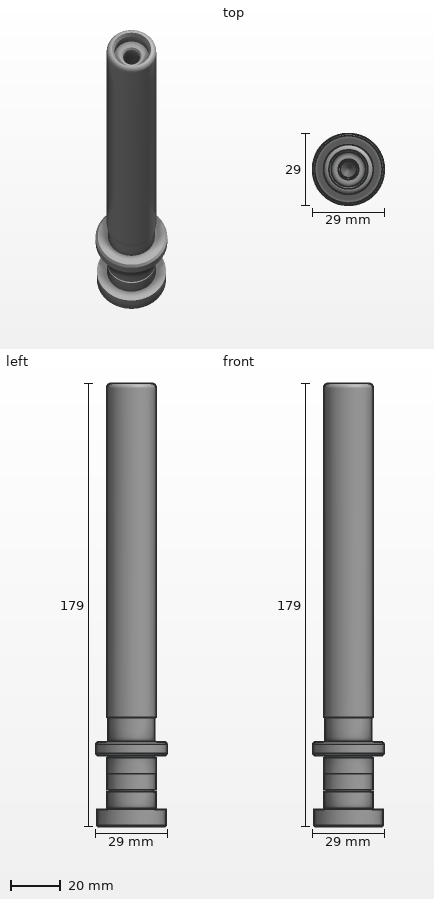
import cadquery as cq
import math

total_height = 179.0

disc_radius = 14.0
disc_height = 7.0
disc_chamfer = 0.5

shaft_radius = 10.0
relief_step = 0.09
relief_radius = shaft_radius - relief_step
neck_radius = 9.5
groove_radius = 9.0
collar_radius = 14.5
collar_chamfer = 0.9
root_radius = 10.5
root_height = 0.2
edge_chamfer = 0.4

groove_bottom = 14.0
groove_top = 14.9
fit_bottom = 21.3
fit_top = 27.7
collar_bottom = 28.6
collar_top = 34.2
shaft_bottom = 44.2

rim_round = 2.0
recess_mouth_radius = 7.9
recess_radius = 7.0
recess_chamfer_depth = 1.6
recess_depth = 5.4
core_mouth_radius = 4.1
core_radius = 3.4
core_chamfer = core_mouth_radius - core_radius
core_depth = 17.9
drill_tip_angle = 118.0


def make_disc():
    """Plain round base disc with a chamfered lower edge."""
    disc = cq.Workplane("XY").circle(disc_radius).extrude(disc_height)
    return disc.faces("<Z").edges().chamfer(disc_chamfer)


def make_pillar_blank():
    """Turned outside of the pillar, from the disc up to the rounded rim."""
    rim_centre_radius = shaft_radius - rim_round
    rim_centre_height = total_height - rim_round
    rim_diagonal = rim_round * math.sqrt(0.5)
    return (
        cq.Workplane("XZ")
        .moveTo(0, disc_height)
        .lineTo(relief_radius - edge_chamfer, disc_height)
        .lineTo(relief_radius, disc_height + edge_chamfer)
        .lineTo(relief_radius, groove_bottom)
        .lineTo(groove_radius, groove_bottom)
        .lineTo(groove_radius, groove_top)
        .lineTo(relief_radius, groove_top)
        .lineTo(relief_radius, fit_bottom)
        .lineTo(shaft_radius, fit_bottom)
        .lineTo(shaft_radius, fit_top)
        .lineTo(neck_radius, fit_top)
        .lineTo(neck_radius, collar_bottom)
        .lineTo(collar_radius - collar_chamfer, collar_bottom)
        .lineTo(collar_radius, collar_bottom + collar_chamfer)
        .lineTo(collar_radius, collar_top - collar_chamfer)
        .lineTo(collar_radius - collar_chamfer, collar_top)
        .lineTo(root_radius, collar_top)
        .lineTo(neck_radius, collar_top + root_height)
        .lineTo(neck_radius, shaft_bottom - edge_chamfer)
        .lineTo(shaft_radius, shaft_bottom)
        .lineTo(shaft_radius, rim_centre_height)
        .threePointArc(
            (rim_centre_radius + rim_diagonal, rim_centre_height + rim_diagonal),
            (rim_centre_radius, total_height),
        )
        .lineTo(0, total_height)
        .close()
        .revolve()
    )


def make_top_bore():
    """Recess, core hole and drill tip to be cut from the top of the pillar."""
    recess_floor = total_height - recess_depth
    core_floor = recess_floor - core_depth
    tip_height = core_radius / math.tan(math.radians(drill_tip_angle / 2))
    return (
        cq.Workplane("XZ")
        .moveTo(0, total_height)
        .lineTo(recess_mouth_radius, total_height)
        .lineTo(recess_radius, total_height - recess_chamfer_depth)
        .lineTo(recess_radius, recess_floor)
        .lineTo(core_mouth_radius, recess_floor)
        .lineTo(core_radius, recess_floor - core_chamfer)
        .lineTo(core_radius, core_floor)
        .lineTo(0, core_floor - tip_height)
        .close()
        .revolve()
    )


disc = make_disc()
pillar = make_pillar_blank().cut(make_top_bore())

result = cq.Compound.makeCompound([disc.val(), pillar.val()])